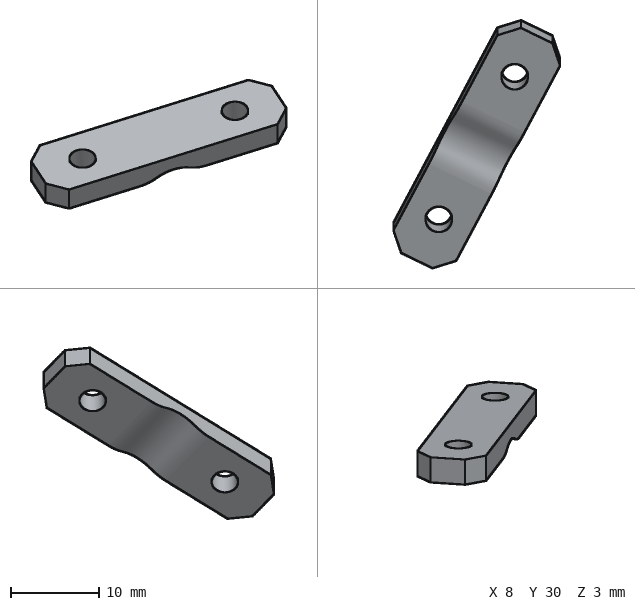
import cadquery as cq
import math

width = 8.0
length = 30.0
thickness = 3.0
corner_chamfer = 2.0

hole_diameter = 3.0
hole_spacing = 19.0

relief_depth = 1.0
relief_radius = 4.5


def make_bar():
    """Rectangular bar with its four vertical edges chamfered, bottom at Z = 0."""
    bar = cq.Workplane("XY").box(width, length, thickness, centered=(True, True, False))
    return bar.edges("|Z").chamfer(corner_chamfer)


def make_relief():
    """Full-width cutter: a crown arc running tangentially into the flat underside."""
    turn_angle = math.acos(1 - relief_depth / (2 * relief_radius))
    half_span = 2 * relief_radius * math.sin(turn_angle)
    joint_y = half_span / 2
    joint_z = relief_depth / 2

    mid_y = relief_radius * math.sin(turn_angle / 2)
    mid_drop = relief_radius * (1 - math.cos(turn_angle / 2))
    blend_mid_y = half_span - mid_y

    profile = (
        cq.Workplane("YZ")
        .moveTo(-half_span, 0)
        .threePointArc((-blend_mid_y, mid_drop), (-joint_y, joint_z))
        .threePointArc((0, relief_depth), (joint_y, joint_z))
        .threePointArc((blend_mid_y, mid_drop), (half_span, 0))
        .close()
    )
    return profile.extrude(width / 2, both=True)


def make_holes():
    """Pair of vertical cylinders through the full thickness."""
    half_spacing = hole_spacing / 2
    return (
        cq.Workplane("XY")
        .pushPoints([(0, -half_spacing), (0, half_spacing)])
        .circle(hole_diameter / 2)
        .extrude(thickness)
    )


result = make_bar().cut(make_relief()).cut(make_holes())